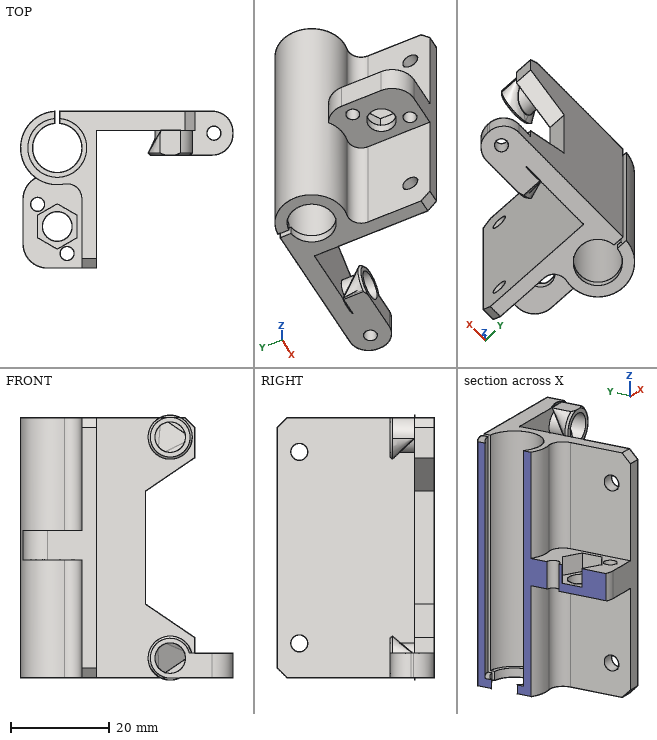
import cadquery as cq
import math

HEIGHT = 53.0
TUBE_R = 7.5
BORE_D = 12.0
LIP_BORE_D = 10.0
LIP_THICK = 2.0
SLOT_W = 1.0

WALL_X0 = 5.0
WALL_X1 = 8.0
WALL_END_Y = -24.5
WALL_CHAMFER = 2.0
WALL_HOLE_D = 3.4
WALL_HOLE_Y = -20.0
WALL_HOLE_INSET = 7.0
TUBE_FILLET_R = 3.0

PLATE_BACK_Y = TUBE_R
PLATE_FRONT_Y = 3.5
PLATE_END_X = 28.0
PLATE_CHAMFER = 2.0
NOTCH_X = 18.0
NOTCH_MOUTH_INSET = 8.2
NOTCH_FLOOR_INSET = 15.0

LEDGE_X0 = -7.0
LEDGE_Y1 = -5.5
LEDGE_CORNER_R = 5.0
LEDGE_Z0 = 24.0
LEDGE_THICK = 6.0
NUT_Y = -16.0
NUT_FLATS = 8.0
NUT_DEPTH = 4.0
ROD_HOLE_D = 6.0
SMALL_HOLE_D = 2.8
LEDGE_HOLE_OFFSETS = [(-4.0, 4.5), (2.0, -5.5)]

SOCKET_X = 23.0
SOCKET_INSET = 4.0
SOCKET_R = 4.5
SOCKET_HOLE_R = 3.1
SOCKET_FRONT_Y = -1.5
SOCKET_CHAMFER = 0.45
SEAT_THICK = 0.1
FLOOR_WEB = 0.1
CHORD_ANGLE = 56.0
UPPER_CHORD_DIST = 2.3
LOWER_CHORD_DIST = 1.9

TAB_THICK = 5.0
TAB_END_X = 35.79
TAB_CORNER_R = 4.25
TAB_HOLE_X = 31.9

RIM_Y = SOCKET_FRONT_Y + SOCKET_CHAMFER


def box(x0, x1, y0, y1, z0, z1):
    """Axis-aligned block between two opposite corners."""
    return cq.Workplane("XY").box(x1 - x0, y1 - y0, z1 - z0, centered=False).translate((x0, y0, z0))


def rod_z(x, y, diameter, z0, z1):
    """Upright cylinder."""
    return cq.Workplane("XY", origin=(x, y, z0)).circle(diameter / 2).extrude(z1 - z0)


def rod_y(radius, y0, y1):
    """Cylinder along Y on the local socket axis."""
    return cq.Workplane("XZ", origin=(0, y0, 0)).circle(radius).extrude(y0 - y1)


def make_tube_and_wall():
    tube = rod_z(0, 0, 2 * TUBE_R, 0, HEIGHT)
    corner = box(0, WALL_X1, 0, PLATE_BACK_Y, 0, HEIGHT)

    wall = (
        box(WALL_X0, WALL_X1, WALL_END_Y, PLATE_BACK_Y, 0, HEIGHT)
        .faces("<Y").edges("|X").chamfer(WALL_CHAMFER)
    )

    blend_x = WALL_X0 - TUBE_FILLET_R
    centre_dist = TUBE_R + TUBE_FILLET_R
    blend_y = -math.sqrt(centre_dist**2 - blend_x**2)
    tube_tangent = (blend_x * TUBE_R / centre_dist, blend_y * TUBE_R / centre_dist)
    mid_angle = math.atan2(-blend_y, -blend_x) / 2
    arc_mid = (
        blend_x + TUBE_FILLET_R * math.cos(mid_angle),
        blend_y + TUBE_FILLET_R * math.sin(mid_angle),
    )
    blend = (
        cq.Workplane("XY")
        .moveTo(0, 0)
        .lineTo(*tube_tangent)
        .threePointArc(arc_mid, (WALL_X0, blend_y))
        .lineTo(WALL_X0, 0)
        .close()
        .extrude(HEIGHT)
    )
    return tube.union(corner).union(wall).union(blend)


def make_plate():
    outline = [
        (0, 0),
        (PLATE_END_X, 0),
        (PLATE_END_X, NOTCH_MOUTH_INSET),
        (NOTCH_X, NOTCH_FLOOR_INSET),
        (NOTCH_X, HEIGHT - NOTCH_FLOOR_INSET),
        (PLATE_END_X, HEIGHT - NOTCH_MOUTH_INSET),
        (PLATE_END_X, HEIGHT - PLATE_CHAMFER),
        (PLATE_END_X - PLATE_CHAMFER, HEIGHT),
        (0, HEIGHT),
    ]
    plate = cq.Workplane("XZ", origin=(0, PLATE_BACK_Y, 0)).polyline(outline).close()
    return plate.extrude(PLATE_BACK_Y - PLATE_FRONT_Y)


def make_ledge():
    ledge = (
        box(LEDGE_X0, WALL_X0, WALL_END_Y, LEDGE_Y1, LEDGE_Z0, LEDGE_Z0 + LEDGE_THICK)
        .edges("|Z and <X").fillet(LEDGE_CORNER_R)
    )
    return ledge


def make_tab():
    bar = box(SOCKET_X, TAB_END_X, SOCKET_FRONT_Y, PLATE_BACK_Y, 0, TAB_THICK)
    return bar.edges("|Z and >X").fillet(TAB_CORNER_R)


def circle_point(radius, angle, y):
    """Point on a circle around the local socket axis; the angle runs from +X toward +Z."""
    return cq.Vector(radius * math.cos(angle), y, radius * math.sin(angle))


def segment_wire(radius, start, end, y):
    """Closed outline of a circular segment: one arc and its chord."""
    first = circle_point(radius, start, y)
    middle = circle_point(radius, (start + end) / 2, y)
    last = circle_point(radius, end, y)
    arc = cq.Edge.makeThreePointArc(first, middle, last)
    return cq.Wire.assembleEdges([arc, cq.Edge.makeLine(last, first)])


def taper_to_point(wire, point):
    """Solid whose straight rulings join an outline to one point."""
    tip = cq.Vertex.makeVertex(*point.toTuple())
    return cq.Workplane(cq.occ_impl.shapes.loft(wire, tip, cap=True, ruled=True))


def leaning_cup(radius, chord_dist):
    """Convex body joining a full disc at the rim to the circular segment beyond a chord at the plate."""
    normal = math.radians(CHORD_ANGLE)
    half = math.acos(chord_dist / radius)
    low = normal - half
    high = normal + half
    far = normal + math.pi

    cap_face = cq.Face.makeFromWires(segment_wire(radius, low, high, RIM_Y))
    depth = PLATE_FRONT_Y - RIM_Y
    cap = cq.Workplane(cq.Solid.extrudeLinear(cap_face, cq.Vector(0, depth, 0)))
    low_end = circle_point(radius, low, PLATE_FRONT_Y)
    high_end = circle_point(radius, high, PLATE_FRONT_Y)
    chord_wall = cq.Wire.makePolygon(
        [circle_point(radius, low, RIM_Y), circle_point(radius, high, RIM_Y), high_end, low_end], close=True
    )
    wedge = taper_to_point(chord_wall, circle_point(radius, far, RIM_Y))
    high_cone = taper_to_point(segment_wire(radius, high, far, RIM_Y), high_end)
    low_cone = taper_to_point(segment_wire(radius, far, low + 2 * math.pi, RIM_Y), low_end)
    return cap.union(wedge).union(high_cone).union(low_cone)


def make_socket(chord_dist):
    """Socket body around the local axis, with its base set into the plate."""
    normal = math.radians(CHORD_ANGLE)
    half = math.acos(chord_dist / SOCKET_R)
    rim_profile = [
        (0, SOCKET_FRONT_Y),
        (SOCKET_R - SOCKET_CHAMFER, SOCKET_FRONT_Y),
        (SOCKET_R, RIM_Y),
        (0, RIM_Y),
    ]
    rim = cq.Workplane("XY").polyline(rim_profile).close().revolve(360, (0, 0), (0, 1))
    core = rod_y(SOCKET_HOLE_R, RIM_Y, PLATE_FRONT_Y)
    body = rim.union(leaning_cup(SOCKET_R, chord_dist)).union(core)
    sides = box(-SOCKET_R, SOCKET_R, SOCKET_FRONT_Y, PLATE_FRONT_Y, -SOCKET_R, SOCKET_INSET)
    body = body.intersect(sides)

    seat_wire = segment_wire(SOCKET_R, normal - half, normal + half, PLATE_FRONT_Y)
    seat_face = cq.Face.makeFromWires(seat_wire)
    seat = cq.Workplane(cq.Solid.extrudeLinear(seat_face, cq.Vector(0, SEAT_THICK, 0)))
    return body.union(seat)


def make_socket_hole(chord_dist):
    """Straight round hole whose floor follows the leaning underside of the socket."""
    bore = rod_y(SOCKET_HOLE_R, SOCKET_FRONT_Y, PLATE_FRONT_Y)
    mouth = rod_y(SOCKET_R, SOCKET_FRONT_Y, RIM_Y)
    lean = mouth.union(leaning_cup(SOCKET_R, chord_dist)).translate((0, -FLOOR_WEB, 0))
    return bore.intersect(lean)


def at_upper(body):
    return body.translate((SOCKET_X, 0, HEIGHT - SOCKET_INSET))


def at_lower(body):
    return body.mirror("XY").translate((SOCKET_X, 0, SOCKET_INSET))


def cut_tube(body):
    body = body.cut(rod_z(0, 0, LIP_BORE_D, 0, HEIGHT))
    body = body.cut(rod_z(0, 0, BORE_D, LIP_THICK, HEIGHT))
    return body.cut(box(-SLOT_W / 2, SLOT_W / 2, 0, PLATE_BACK_Y, 0, HEIGHT))


def cut_wall_holes(body):
    for z in (WALL_HOLE_INSET, HEIGHT - WALL_HOLE_INSET):
        start = cq.Workplane("YZ", origin=(WALL_X0, WALL_HOLE_Y, z))
        body = body.cut(start.circle(WALL_HOLE_D / 2).extrude(WALL_X1 - WALL_X0))
    return body


def cut_ledge_holes(body):
    top = LEDGE_Z0 + LEDGE_THICK
    body = body.cut(rod_z(0, NUT_Y, ROD_HOLE_D, LEDGE_Z0, top))
    for dx, dy in LEDGE_HOLE_OFFSETS:
        body = body.cut(rod_z(dx, NUT_Y + dy, SMALL_HOLE_D, LEDGE_Z0, top))

    across_corners = NUT_FLATS / math.cos(math.pi / 6)
    nut = (
        cq.Workplane("XY")
        .polygon(6, across_corners)
        .extrude(NUT_DEPTH)
        .rotate((0, 0, 0), (0, 0, 1), 30)
        .translate((0, NUT_Y, top - NUT_DEPTH))
    )
    return body.cut(nut)


def cut_tab_hole(body):
    tab_mid_y = (PLATE_BACK_Y + SOCKET_FRONT_Y) / 2
    return body.cut(rod_z(TAB_HOLE_X, tab_mid_y, SMALL_HOLE_D, 0, TAB_THICK))


result = make_tube_and_wall().union(make_plate()).union(make_ledge()).union(make_tab())
result = result.union(at_upper(make_socket(UPPER_CHORD_DIST)))
result = result.union(at_lower(make_socket(LOWER_CHORD_DIST)))
result = result.cut(at_upper(make_socket_hole(UPPER_CHORD_DIST)))
result = result.cut(at_lower(make_socket_hole(LOWER_CHORD_DIST)))
result = cut_tube(result)
result = cut_wall_holes(result)
result = cut_ledge_holes(result)
result = cut_tab_hole(result)